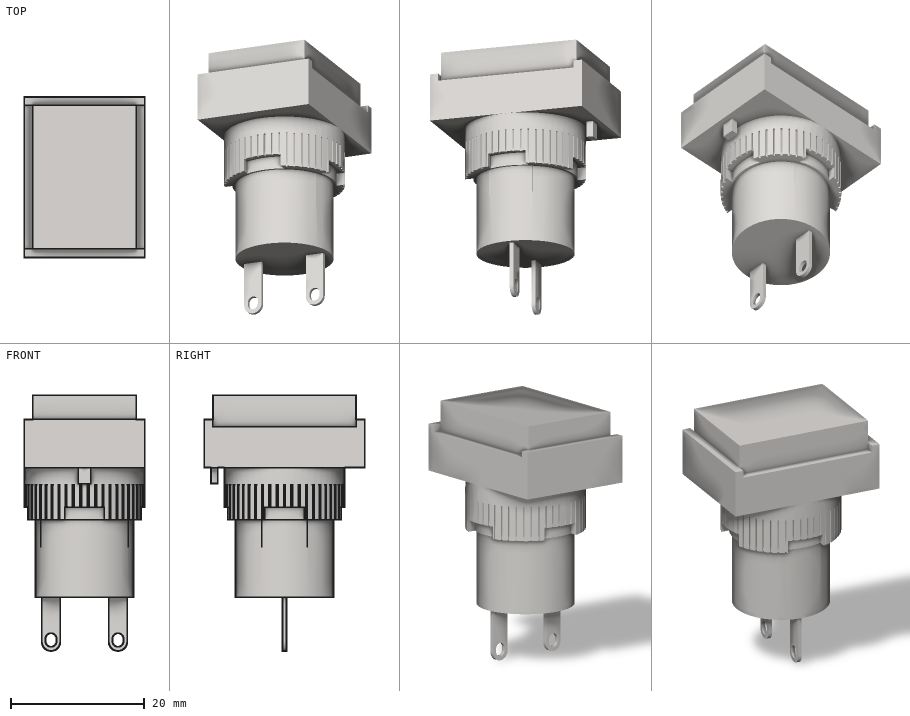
import cadquery as cq


bezel_x = 18.0
bezel_y = 24.0
bezel_height = 7.2
button_x = 15.5
button_y = 21.4
button_rise = 3.6
channel_depth = 1.1
button_height = button_rise + channel_depth
channel_floor_z = bezel_height - channel_depth

tab_width = 1.9
tab_thickness = 1.05
tab_length = 2.4
tab_outer_inset = 1.0

barrel_diameter = 14.7
barrel_length = 19.4

nut_diameter = 18.0
nut_height = 7.8
nut_plain_height = 2.55
groove_count = 50
groove_width = 0.25
groove_depth = 0.3
notch_count = 4
notch_width = 5.95
notch_height = 1.9
notch_floor_diameter = 15.6

block_x = 13.06
block_y = 6.8
block_height = 4.0

terminal_width = 2.8
terminal_thickness = 0.6
terminal_length = 8.0
terminal_offset = 5.0
eye_width = 1.6
eye_length = 2.0
eye_rise = 0.25


def box_on(z_bottom, size_x, size_y, height):
    return (
        cq.Workplane("XY", origin=(0, 0, z_bottom))
        .rect(size_x, size_y)
        .extrude(height)
    )


def make_terminal(x):
    end_radius = terminal_width / 2
    end_centre_z = -barrel_length - terminal_length + end_radius
    blade = (
        cq.Workplane("XZ")
        .moveTo(x - end_radius, -barrel_length)
        .lineTo(x - end_radius, end_centre_z)
        .threePointArc((x, end_centre_z - end_radius), (x + end_radius, end_centre_z))
        .lineTo(x + end_radius, -barrel_length)
        .close()
        .extrude(terminal_thickness / 2, both=True)
    )
    eye = (
        cq.Workplane("XZ")
        .center(x, end_centre_z + eye_rise)
        .slot2D(eye_length, eye_width, 90)
        .extrude(terminal_thickness, both=True)
    )
    return blade.cut(eye)


def make_housing():
    bezel = box_on(0, bezel_x, bezel_y, bezel_height)
    channel = box_on(channel_floor_z, bezel_x, button_y, channel_depth)
    tab_y = -bezel_y / 2 + tab_outer_inset + tab_thickness / 2
    tab = box_on(-tab_length, tab_width, tab_thickness, tab_length).translate((0, tab_y, 0))
    barrel = cq.Workplane("XY").circle(barrel_diameter / 2).extrude(-barrel_length)
    block = box_on(-nut_height - block_height, block_x, block_y, block_height)
    housing = bezel.cut(channel).union(tab).union(barrel).union(block)
    for x in (-terminal_offset, terminal_offset):
        housing = housing.union(make_terminal(x))
    return housing


def make_button():
    return box_on(channel_floor_z, button_x, button_y, button_height)


def make_nut():
    nut_radius = nut_diameter / 2
    groove_length = nut_height - nut_plain_height
    nut = (
        cq.Workplane("XY")
        .circle(nut_radius)
        .circle(barrel_diameter / 2)
        .extrude(-nut_height)
    )
    grooves = (
        cq.Workplane("XY", origin=(0, 0, -nut_height))
        .polarArray(nut_radius, 0, 360, groove_count)
        .rect(2 * groove_depth, groove_width)
        .extrude(groove_length)
    )
    nut = nut.cut(grooves)

    notch_floor = (
        cq.Workplane("XY", origin=(0, 0, -nut_height))
        .circle(notch_floor_diameter / 2)
        .extrude(notch_height)
    )
    notches = (
        cq.Workplane("XY", origin=(0, 0, -nut_height))
        .polarArray(nut_radius, 0, 360, notch_count)
        .rect(nut_radius, notch_width)
        .extrude(notch_height)
        .cut(notch_floor)
    )
    return nut.cut(notches)


housing = make_housing()
button = make_button()
nut = make_nut()

result = cq.Compound.makeCompound([housing.val(), button.val(), nut.val()])